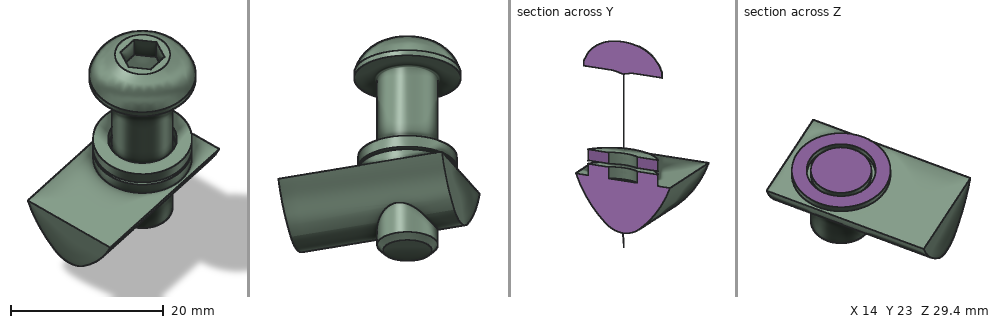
import cadquery as cq
import math

total_height = 29.4
shank_radius = 4.0
tip_chamfer = 0.8
head_height = 4.4
head_radius = 7.0
head_rim_height = 0.75
head_flat_radius = 3.62
dome_mid_radius = 5.45
dome_mid_rise = 2.53
neck_fillet = 0.35
socket_across_flats = 5.05
socket_depth = 2.85

nut_top = 10.0
nut_height = 7.3
nut_half_width = 6.9
nut_length = 23.0
nut_back = 7.5
keel_radius = 3.7
keel_half_angle = math.radians(40)

ring_radius = 6.5
ring_bore_radius = 4.5
ring_thickness = 1.6
ring_gap = 0.4

head_bottom = total_height - head_height
rim_top = head_bottom + head_rim_height
nut_bottom = nut_top - nut_height
upper_ring_bottom = nut_top + ring_thickness + ring_gap


def make_screw():
    """Revolve the screw's half profile, then cut the hexagon socket."""
    neck_mid_offset = neck_fillet * (1 - math.sqrt(0.5))
    screw = (
        cq.Workplane("XZ")
        .moveTo(0, 0)
        .lineTo(shank_radius - tip_chamfer, 0)
        .lineTo(shank_radius, tip_chamfer)
        .lineTo(shank_radius, head_bottom - neck_fillet)
        .threePointArc(
            (shank_radius + neck_mid_offset, head_bottom - neck_mid_offset),
            (shank_radius + neck_fillet, head_bottom),
        )
        .lineTo(head_radius, head_bottom)
        .lineTo(head_radius, rim_top)
        .threePointArc((dome_mid_radius, rim_top + dome_mid_rise), (head_flat_radius, total_height))
        .lineTo(0, total_height)
        .close()
        .revolve(360, (0, 0, 0), (0, 1, 0))
    )
    across_corners = socket_across_flats / math.cos(math.pi / 6)
    socket = (
        cq.Workplane("XY")
        .workplane(offset=total_height - socket_depth)
        .transformed(rotate=(0, 0, 90))
        .polygon(6, across_corners)
        .extrude(socket_depth)
    )
    return screw.cut(socket)


def make_nut():
    """Extrude the nut's section along Y; its sides are arcs tangent to the keel arc."""
    keel_x = keel_radius * math.sin(keel_half_angle)
    keel_z = nut_bottom + keel_radius * (1 - math.cos(keel_half_angle))
    chord_x = nut_half_width - keel_x
    chord_z = nut_top - keel_z
    half_turn = math.atan2(chord_z, chord_x) - keel_half_angle
    bulge = math.tan(half_turn / 2) / 2
    side_mid_x = keel_x + chord_x / 2 + bulge * chord_z
    side_mid_z = keel_z + chord_z / 2 - bulge * chord_x
    return (
        cq.Workplane("XZ", origin=(0, nut_back, 0))
        .moveTo(-nut_half_width, nut_top)
        .threePointArc((-side_mid_x, side_mid_z), (-keel_x, keel_z))
        .threePointArc((0, nut_bottom), (keel_x, keel_z))
        .threePointArc((side_mid_x, side_mid_z), (nut_half_width, nut_top))
        .close()
        .extrude(nut_length)
    )


def make_ring(bottom):
    """A flat ring with clearance around the shank."""
    return (
        cq.Workplane("XY")
        .workplane(offset=bottom)
        .circle(ring_radius)
        .circle(ring_bore_radius)
        .extrude(ring_thickness)
    )


fastener = make_screw().union(make_nut()).union(make_ring(nut_top))

upper_ring = make_ring(upper_ring_bottom)

result = cq.Compound.makeCompound([fastener.val(), upper_ring.val()])